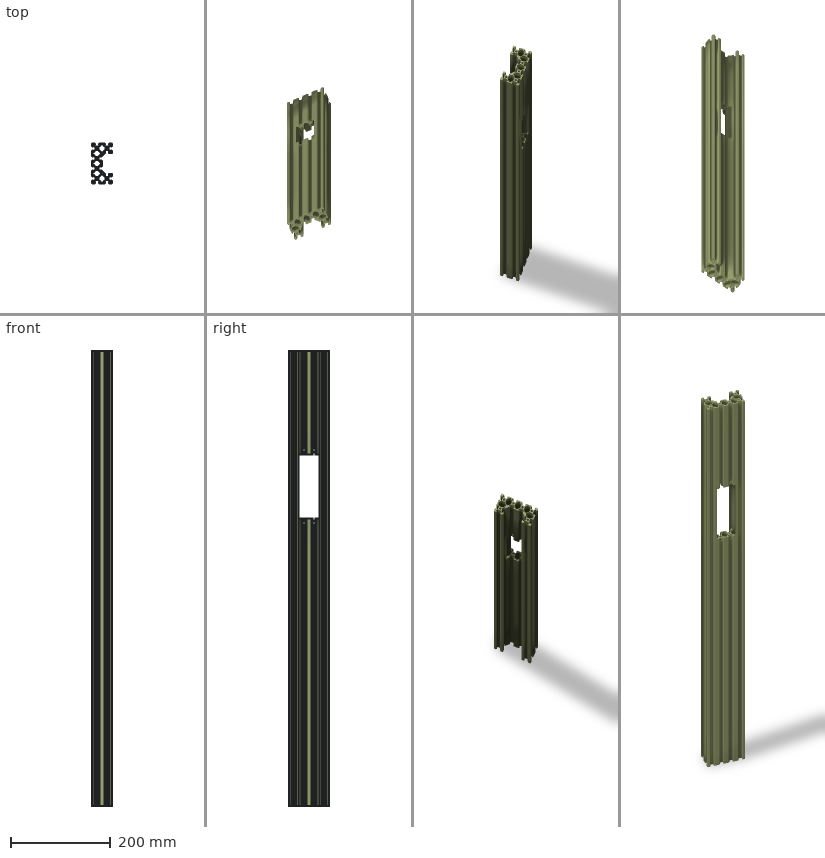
import cadquery as cq
import math

LENGTH = 914.0
DEPTH = 40.0
CELL = DEPTH / 2
HALF_CELL = CELL / 2
WIDTH = 4 * CELL
CORNER_RADIUS = 1.5

MOUTH_HALF = 5.1
THROAT_HALF = 3.4
LIP = 2.0
UNDERCUT_HALF = 5.8
CORE_HALF = 3.9
GROOVE_HALF = 0.3

WEB = 1.0
CORE_BORE = 5.0

WINDOW_WIDTH = 2 * CELL
WINDOW_HEIGHT = 128.0
WINDOW_BOTTOM = 578.0
WINDOW_TOP = WINDOW_BOTTOM + WINDOW_HEIGHT
SCREW_HOLE = 6.0
SCREW_OFFSET = 9.0
NOTCH_DIAMETER = 5.5
NOTCH_OFFSET = 2.0

WEB_SHIFT = WEB / 2 * math.sqrt(2)
SLOT_FLOOR_HALF = CORE_HALF - WEB_SHIFT

INNER_Y = HALF_CELL
OUTER_Y = 3 * HALF_CELL
BACK_X = -HALF_CELL
FLANGE_X = HALF_CELL
CELLS = [(BACK_X, y) for y in (-OUTER_Y, -INNER_Y, INNER_Y, OUTER_Y)]
CELLS += [(FLANGE_X, y) for y in (-OUTER_Y, OUTER_Y)]

RIGHT, BACKWARD, LEFT, FORWARD = 0, 90, 180, 270


def prism(points):
    """Full-length bar with the given outline."""
    return cq.Workplane("XY").polyline(points).close().extrude(LENGTH)


def place(bar, center, turn):
    return bar.rotate((0, 0, 0), (0, 0, 1), turn).translate((*center, 0))


def slot():
    """Slot cutter for the +X face of a cell centred on the origin."""
    upper = [
        (HALF_CELL, MOUTH_HALF),
        (HALF_CELL - (MOUTH_HALF - THROAT_HALF), THROAT_HALF),
        (HALF_CELL - LIP, THROAT_HALF),
        (HALF_CELL - LIP, UNDERCUT_HALF),
        (UNDERCUT_HALF + WEB_SHIFT, UNDERCUT_HALF),
        (CORE_HALF, SLOT_FLOOR_HALF),
        (CORE_HALF, GROOVE_HALF),
    ]
    lower = [(x, -y) for x, y in reversed(upper)]
    groove_tip = [(CORE_HALF - GROOVE_HALF, 0)]
    return prism(upper + groove_tip + lower)


def hollow():
    """Eight-sided hollow between two cells that are neighbours along X."""
    side = HALF_CELL - CORE_HALF
    top = HALF_CELL - LIP
    right = [
        (LIP - WEB_SHIFT, -top),
        (side, -SLOT_FLOOR_HALF),
        (side, SLOT_FLOOR_HALF),
        (LIP - WEB_SHIFT, top),
    ]
    left = [(-x, -y) for x, y in right]
    return prism(right + left)


def c_outline():
    """Solid C bar; its inner corners are filled at 45 degrees between the slot mouths."""
    fill = HALF_CELL - MOUTH_HALF
    half = [
        (0, CELL - fill),
        (fill, CELL),
        (DEPTH / 2, CELL),
        (DEPTH / 2, WIDTH / 2),
        (-DEPTH / 2, WIDTH / 2),
    ]
    bar = prism(half + [(x, -y) for x, y in reversed(half)])
    back_corners = bar.edges("|Z").edges("<X")
    flange_corners = bar.edges("|Z").edges(">X")
    return back_corners.add(flange_corners).fillet(CORNER_RADIUS)


rail = c_outline()

slots = [((BACK_X, y), LEFT) for y in (-OUTER_Y, -INNER_Y, INNER_Y, OUTER_Y)]
slots += [((BACK_X, y), RIGHT) for y in (-INNER_Y, INNER_Y)]
slots += [((FLANGE_X, y), RIGHT) for y in (-OUTER_Y, OUTER_Y)]
slots += [((x, -OUTER_Y), FORWARD) for x in (BACK_X, FLANGE_X)]
slots += [((x, OUTER_Y), BACKWARD) for x in (BACK_X, FLANGE_X)]
slots += [((FLANGE_X, -OUTER_Y), BACKWARD), ((FLANGE_X, OUTER_Y), FORWARD)]
for center, turn in slots:
    rail = rail.cut(place(slot(), center, turn))

for y in (-CELL, 0, CELL):
    rail = rail.cut(place(hollow(), (BACK_X, y), BACKWARD))
for y in (-OUTER_Y, OUTER_Y):
    rail = rail.cut(place(hollow(), (0, y), RIGHT))

rail = rail.cut(cq.Workplane("XY").pushPoints(CELLS).circle(CORE_BORE / 2).extrude(LENGTH))

window = cq.Workplane("XY").box(DEPTH, WINDOW_WIDTH, WINDOW_HEIGHT)
rail = rail.cut(window.translate((0, 0, WINDOW_BOTTOM + WINDOW_HEIGHT / 2)))

screw_points = [
    (y, z)
    for y in (-INNER_Y, INNER_Y)
    for z in (WINDOW_BOTTOM - SCREW_OFFSET, WINDOW_TOP + SCREW_OFFSET)
]
screw_holes = cq.Workplane("YZ").pushPoints(screw_points).circle(SCREW_HOLE / 2)
rail = rail.cut(screw_holes.extrude(DEPTH / 2, both=True))

notch_points = [(INNER_Y, WINDOW_BOTTOM - NOTCH_OFFSET), (INNER_Y, WINDOW_TOP + NOTCH_OFFSET)]
notches = cq.Workplane("YZ").pushPoints(notch_points).circle(NOTCH_DIAMETER / 2)
rail = rail.cut(notches.extrude(DEPTH / 2, both=True))

result = rail